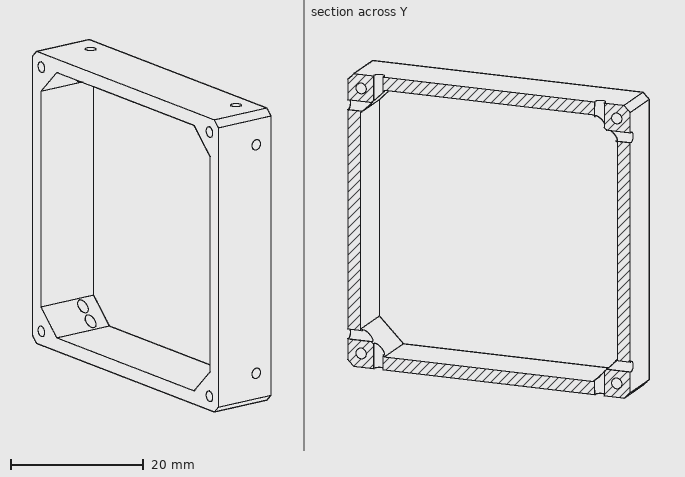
import cadquery as cq

side = 46.0
depth = 10.0
wall = 2.1
outer_chamfer = 1.0
inner_chamfer = 3.9

hole_diameter = 1.6
corner_hole_inset = 2.2
side_hole_inset = 5.0
side_hole_back_inset = 2.8

corner_hole_spacing = side - 2 * corner_hole_inset
side_hole_offset = side / 2 - side_hole_inset
side_hole_y = depth / 2 - side_hole_back_inset


def chamfered_square(width, chamfer):
    """Square block spanning the frame depth, with chamfered edges along Y."""
    return cq.Workplane("XY").box(width, depth, width).edges("|Y").chamfer(chamfer)


def through_holes(plane, points):
    """Round cutters crossing the whole frame along the normal of the plane."""
    return cq.Workplane(plane).pushPoints(points).circle(hole_diameter / 2).extrude(side, both=True)


frame = chamfered_square(side, outer_chamfer).cut(chamfered_square(side - 2 * wall, inner_chamfer))

corner_points = cq.Workplane("XZ").rect(corner_hole_spacing, corner_hole_spacing, forConstruction=True)
corner_holes = corner_points.vertices().circle(hole_diameter / 2).extrude(depth, both=True)

vertical_holes = through_holes("XY", [(x, side_hole_y) for x in (-side_hole_offset, side_hole_offset)])
horizontal_holes = through_holes("YZ", [(side_hole_y, z) for z in (-side_hole_offset, side_hole_offset)])

result = frame.cut(corner_holes).cut(vertical_holes).cut(horizontal_holes)